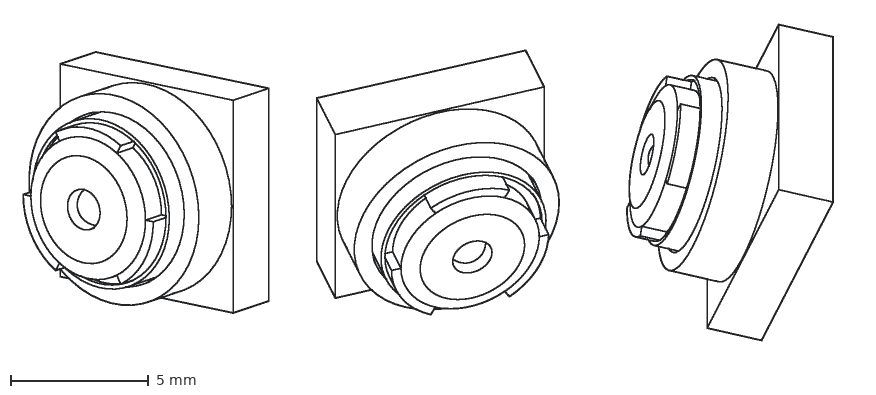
import cadquery as cq
import math


base_side = 8.0
base_height = 2.09
collar_diameter = 7.85
collar_top = 4.0
bore_diameter = 6.5

barrel_diameter = 6.32
shoulder_top = 4.76
groove_depth = 0.19
groove_floor = shoulder_top - groove_depth
nose_diameter = 5.3
nose_cone_start = 5.5
nose_face_diameter = 4.0
nose_top = 5.76

lug_diameter = 6.02
lug_count = 3
lug_pitch = 360.0 / lug_count
lug_sweep = lug_pitch / 2
lug_center_angle = 90.0

aperture_diameter = 1.5
dome_radius = aperture_diameter / 2
dome_recess = 0.08
aperture_depth = dome_recess + dome_radius


def plane_at(height):
    """Sketch plane facing -Y, with local x along +X and local y along +Z."""
    return cq.Workplane("XZ", origin=(0, -height, 0))


def cylinder(diameter, bottom, top):
    return plane_at(bottom).circle(diameter / 2).extrude(top - bottom)


def make_housing():
    base = plane_at(0).rect(base_side, base_side).extrude(base_height)
    collar = cylinder(collar_diameter, base_height, collar_top)
    bore = cylinder(bore_diameter, base_height, collar_top)
    return base.union(collar.cut(bore))


def polar(radius, angle):
    return (radius * math.cos(math.radians(angle)), radius * math.sin(math.radians(angle)))


def make_lug(center_angle):
    """Sector from the axis to the lug's outer radius; its inner part merges into the nose."""
    radius = lug_diameter / 2
    return (
        plane_at(groove_floor)
        .lineTo(*polar(radius, center_angle - lug_sweep / 2))
        .threePointArc(polar(radius, center_angle), polar(radius, center_angle + lug_sweep / 2))
        .close()
        .extrude(nose_cone_start - groove_floor)
    )


def make_barrel_blank():
    """Stepped round body with a groove around its conical nose, revolved about the optical axis."""
    return (
        cq.Workplane("XY")
        .moveTo(0, -base_height)
        .lineTo(barrel_diameter / 2, -base_height)
        .lineTo(barrel_diameter / 2, -shoulder_top)
        .lineTo(lug_diameter / 2, -shoulder_top)
        .lineTo(lug_diameter / 2, -groove_floor)
        .lineTo(nose_diameter / 2, -groove_floor)
        .lineTo(nose_diameter / 2, -nose_cone_start)
        .lineTo(nose_face_diameter / 2, -nose_top)
        .lineTo(0, -nose_top)
        .close()
        .revolve(360, (0, 0, 0), (0, 1, 0))
    )


def make_aperture():
    """Space between the aperture wall and the hemispherical dome."""
    floor_height = nose_top - aperture_depth
    hole = cylinder(aperture_diameter, floor_height, nose_top)
    dome = plane_at(floor_height).sphere(dome_radius)
    return hole.cut(dome)


def make_barrel():
    barrel = make_barrel_blank()
    for index in range(lug_count):
        barrel = barrel.union(make_lug(lug_center_angle + index * lug_pitch))
    return barrel.cut(make_aperture())


housing = make_housing()
barrel = make_barrel()

result = cq.Compound.makeCompound([housing.solids().val(), barrel.solids().val()])